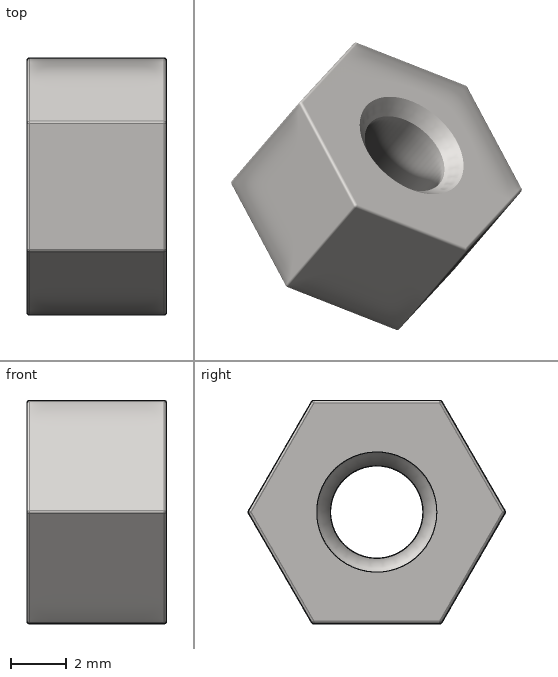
import cadquery as cq
import math

length = 5.0
across_flats = 8.0
side_count = 6
edge_radius = 0.1

bore_diameter = 3.3
countersink_diameter = 4.3
countersink_depth = (countersink_diameter - bore_diameter) / 2


def make_body():
    """Hexagonal prism from x = 0 to x = length with every edge rounded."""
    across_corners = across_flats / math.cos(math.pi / side_count)
    prism = cq.Workplane("YZ").polygon(side_count, across_corners).extrude(length)
    return prism.edges().fillet(edge_radius)


def cut_bore(body):
    """Cut the bore through both end faces and bevel its two rims."""
    bore = cq.Workplane("YZ").circle(bore_diameter / 2).extrude(length)
    bored = body.cut(bore)
    largest_circles = cq.selectors.RadiusNthSelector(-1)
    rims = bored.edges("%CIRCLE").edges(largest_circles)
    return rims.chamfer(countersink_depth)


result = cut_bore(make_body())